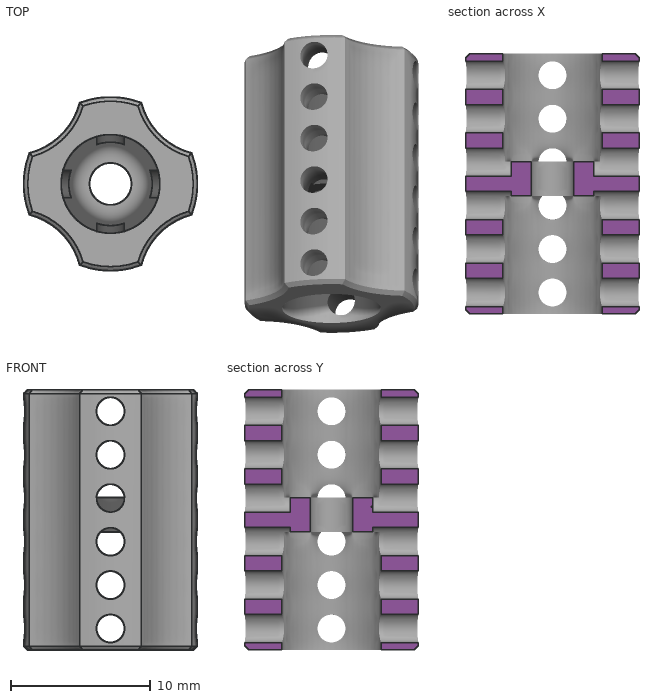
import cadquery as cq
import math

sleeve_diameter = 12.5
sleeve_length = 18.75
edge_chamfer = 0.3

flute_count = 4
flute_radius = 5.0
flute_root_radius = 5.0

bore_diameter = 7.1
web_hole_diameter = 3.0
web_thickness = 2.5
upper_bore_depth = 7.75

radial_hole_diameter = 2.0
holes_per_row = 6
row_count = 4
radial_hole_inner_radius = 3.0

web_top = sleeve_length - upper_bore_depth
web_bottom = web_top - web_thickness
hole_pitch = sleeve_length / holes_per_row
flute_axis_radius = flute_root_radius + flute_radius


def axial_cylinder(diameter, z_bottom, z_top):
    """Cylinder on the Z axis between two heights."""
    return cq.Workplane("XY").workplane(offset=z_bottom).circle(diameter / 2).extrude(z_top - z_bottom)


def fluted_body():
    """Round bar with concave flutes and chamfered end outlines."""
    bar = axial_cylinder(sleeve_diameter, 0, sleeve_length)
    flutes = (
        cq.Workplane("XY")
        .polarArray(flute_axis_radius, 180 / flute_count, 360, flute_count)
        .circle(flute_radius)
        .extrude(sleeve_length)
    )
    return bar.cut(flutes).faces("<Z or >Z").edges().chamfer(edge_chamfer)


def stepped_bore():
    """Upper and lower pockets joined by the hole through the web."""
    upper = axial_cylinder(bore_diameter, web_top, sleeve_length)
    lower = axial_cylinder(bore_diameter, 0, web_bottom)
    web_hole = axial_cylinder(web_hole_diameter, 0, sleeve_length)
    return upper.union(lower).union(web_hole)


def radial_hole(row, level):
    """One hole running outwards from the axis in the given row and level."""
    angle = math.radians(row * 360 / row_count)
    start = cq.Vector(0, 0, (level + 0.5) * hole_pitch)
    direction = cq.Vector(math.cos(angle), math.sin(angle), 0)
    return cq.Solid.makeCylinder(radial_hole_diameter / 2, sleeve_diameter, start, direction)


def radial_holes():
    """All radial holes, leaving the core inside the inner radius untouched."""
    holes = cq.Workplane("XY")
    for row in range(row_count):
        for level in range(holes_per_row):
            holes = holes.add(radial_hole(row, level))
    core = axial_cylinder(2 * radial_hole_inner_radius, 0, sleeve_length)
    return holes.combine().cut(core)


result = fluted_body().cut(stepped_bore()).cut(radial_holes())